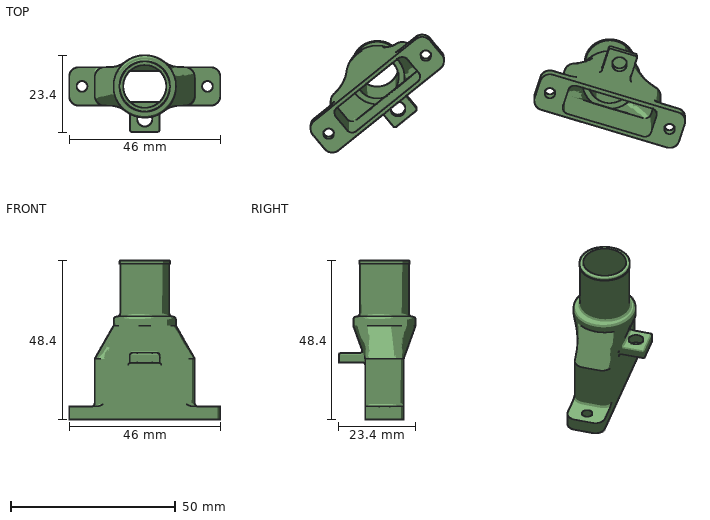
import cadquery as cq
import math

base_length = 46.0
depth = 11.75
base_thickness = 4.0
base_corner = 3.0
mount_hole_diameter = 3.2
mount_hole_spacing = 38.15
body_length = 30.5
body_corner = 3.2
body_top = 18.5
foot_fillet = 1.0
wall = 1.2

collar_bottom = 28.55
collar_top = 31.35
collar_diameter = 19.0
collar_round = 0.95
tube_diameter = 15.0
tube_fillet = 0.95
bore_diameter = 13.0
total_height = 48.4
lip_diameter = 15.4
lip_height = 1.0
lip_round = 0.4

tab_width = 9.0
tab_bottom = 17.3
tab_top = 20.28
tab_reach = 13.865
tab_edge_round = 0.65
tab_root_fillet = 0.7
tab_hole_diameter = 4.5
tab_hole_y = -9.9

end_face_angle = 10.3
side_face_angle = 32.6


def rounded_block(length, width, height, corner):
    block = cq.Workplane("XY").rect(length, width).extrude(height)
    return block.edges("|Z").fillet(corner)


def polyarc_wire(points, middles):
    """Closed wire of eight edges; an edge without a middle point is straight."""
    edges = []
    for i, start in enumerate(points):
        end = points[(i + 1) % len(points)]
        if middles[i] is None:
            edges.append(cq.Edge.makeLine(start, end))
        else:
            edges.append(cq.Edge.makeThreePointArc(start, middles[i], end))
    return cq.Wire.assembleEdges(edges)


def rectangle_section(length, width, corner, z):
    points = []
    middles = []
    diagonal = corner * math.sqrt(0.5)
    for sx, sy in ((1, 1), (-1, 1), (-1, -1), (1, -1)):
        center_x = sx * (length / 2 - corner)
        center_y = sy * (width / 2 - corner)
        end_point = cq.Vector(sx * length / 2, center_y, z)
        side_point = cq.Vector(center_x, sy * width / 2, z)
        points += [end_point, side_point] if sx == sy else [side_point, end_point]
        middles += [cq.Vector(center_x + sx * diagonal, center_y + sy * diagonal, z), None]
    return polyarc_wire(points, middles)


def circle_section(diameter, z):
    def at(angle):
        turn = math.radians(angle)
        return cq.Vector(diameter / 2 * math.cos(turn), diameter / 2 * math.sin(turn), z)

    quarter = [end_face_angle, side_face_angle]
    mirrored = [180 - side_face_angle, 180 - end_face_angle]
    angles = quarter + mirrored + [180 + a for a in quarter + mirrored]
    next_angles = angles[1:] + [angles[0] + 360]
    points = [at(a) for a in angles]
    middles = [at((a + b) / 2) for a, b in zip(angles, next_angles)]
    return polyarc_wire(points, middles)


def transition(inset):
    """Straight-sided blend from the body to the collar, inset by a wall thickness."""
    lower = rectangle_section(
        body_length - 2 * inset, depth - 2 * inset, body_corner - inset, body_top
    )
    upper = circle_section(collar_diameter - 2 * inset, collar_bottom)
    return cq.Workplane(cq.Solid.makeLoft([lower, upper], True))


def make_base_and_body():
    plate = cq.Workplane("XY").box(
        base_length, 2 * depth, base_thickness, centered=(True, True, False)
    )
    body = rounded_block(body_length, depth, body_top, body_corner)
    in_body = cq.selectors.BoxSelector(
        (-body_length / 2 - 0.5, -depth / 2 - 0.5, base_thickness - 0.05),
        (body_length / 2 + 0.5, depth / 2 + 0.5, base_thickness + 0.05),
    )
    joined = plate.union(body).edges(in_body).fillet(foot_fillet)
    footprint = rounded_block(base_length, depth, body_top, base_corner)
    return joined.intersect(footprint)


def make_neck():
    collar = (
        cq.Workplane("XY", origin=(0, 0, collar_bottom))
        .circle(collar_diameter / 2)
        .extrude(collar_top - collar_bottom)
        .faces(">Z").edges().fillet(collar_round)
    )
    tube = (
        cq.Workplane("XY", origin=(0, 0, collar_bottom))
        .circle(tube_diameter / 2)
        .extrude(total_height - collar_bottom)
    )
    root = cq.selectors.BoxSelector(
        (-tube_diameter, -tube_diameter, collar_top - 0.05),
        (tube_diameter, tube_diameter, collar_top + 0.05),
    )
    root_edges = collar.union(tube).edges(root)
    neck = root_edges.edges(cq.selectors.RadiusNthSelector(0)).fillet(tube_fillet)
    lip = (
        cq.Workplane("XY", origin=(0, 0, total_height - lip_height))
        .circle(lip_diameter / 2)
        .extrude(lip_height)
        .faces(">Z").edges().fillet(lip_round)
    )
    tube_end = cq.Workplane("XY", origin=(0, 0, total_height - lip_height))
    return neck.cut(tube_end.circle(lip_diameter).extrude(lip_height)).union(lip)


def make_tab():
    tab = cq.Workplane("XY", origin=(0, -tab_reach / 2, tab_bottom)).box(
        tab_width, tab_reach, tab_top - tab_bottom, centered=(True, True, False)
    )
    tab = tab.edges("|Z and <Y").fillet(tab_edge_round)
    return tab.faces(">Z").edges("not >Y").fillet(tab_edge_round)


def make_cavity():
    lower = rounded_block(
        body_length - 2 * wall, depth - 2 * wall, body_top, body_corner - wall
    )
    bore = (
        cq.Workplane("XY", origin=(0, 0, collar_bottom))
        .circle(bore_diameter / 2)
        .extrude(total_height - collar_bottom)
    )
    return lower.union(transition(wall)).union(bore)


def make_holes():
    mount = (
        cq.Workplane("XY")
        .pushPoints([(-mount_hole_spacing / 2, 0), (mount_hole_spacing / 2, 0)])
        .circle(mount_hole_diameter / 2)
        .extrude(base_thickness)
    )
    tab_hole = (
        cq.Workplane("XY", origin=(0, tab_hole_y, tab_bottom))
        .circle(tab_hole_diameter / 2)
        .extrude(tab_top - tab_bottom)
    )
    return mount.union(tab_hole)


housing = make_base_and_body().union(transition(0)).union(make_neck())
housing = housing.union(make_tab())
tab_root = cq.selectors.BoxSelector(
    (-tab_width / 2 - 0.5, -depth / 2 - 0.95, tab_bottom - 0.5),
    (tab_width / 2 + 0.5, -depth / 2 + 0.5, tab_top + 0.5),
)
housing = housing.edges(tab_root).fillet(tab_root_fillet)
result = housing.cut(make_cavity()).cut(make_holes())